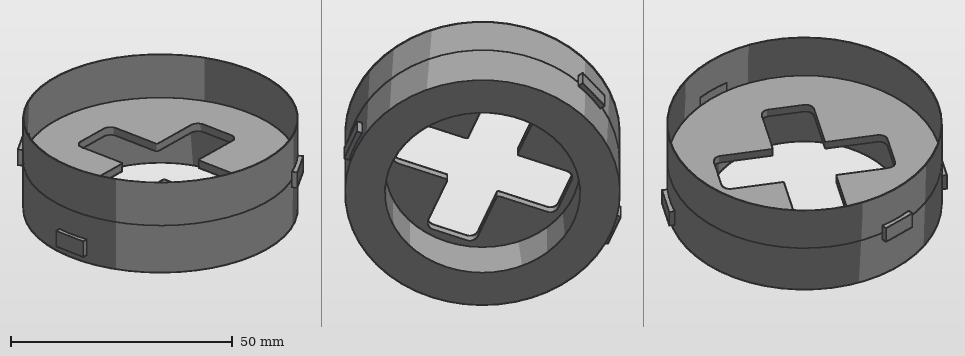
import cadquery as cq

outer_diameter = 62.0
rim_inner_diameter = 61.75
bore_diameter = 44.0
total_height = 23.0
deck_top = 12.0
deck_thickness = 2.0

cross_length = 40.0
cross_width = 12.0
arm_corner_radius = 2.0
inner_corner_radius = 0.4

tab_span = 64.0
tab_width = 8.0
tab_height = 4.0
low_tab_bottom = 2.0
high_tab_bottom = 10.25
low_tab_angles = (90, 270)
high_tab_angles = (30, 210)

outer_radius = outer_diameter / 2
tab_thickness = (tab_span - outer_diameter) / 2


def cross_arm(length_x, length_y):
    """One rounded bar of the cross, cutting through the deck."""
    return (
        cq.Workplane("XY")
        .workplane(offset=deck_top - deck_thickness)
        .rect(length_x, length_y)
        .extrude(deck_thickness)
        .edges("|Z")
        .fillet(arm_corner_radius)
    )


def make_cross():
    """Two crossing bars, with the four corners where they meet rounded."""
    cross = cross_arm(cross_length, cross_width).union(cross_arm(cross_width, cross_length))
    half_window = cross_width / 2 + arm_corner_radius
    inner_corners = cq.selectors.BoxSelector(
        (-half_window, -half_window, 0),
        (half_window, half_window, total_height),
    )
    return cross.edges("|Z").edges(inner_corners).fillet(inner_corner_radius)


def make_base():
    """Lower ring closed at the top by the deck with its cross opening."""
    base = cq.Workplane("XY").circle(outer_radius).extrude(deck_top)
    bore = cq.Workplane("XY").circle(bore_diameter / 2).extrude(deck_top - deck_thickness)
    base = base.cut(bore)
    return base.cut(make_cross())


def make_rim():
    """Thin wall standing on the edge of the deck."""
    return (
        cq.Workplane("XY")
        .workplane(offset=deck_top)
        .circle(outer_radius)
        .circle(rim_inner_diameter / 2)
        .extrude(total_height - deck_top)
    )


def make_housing():
    """Base and rim joined into one body."""
    return make_base().union(make_rim())


def make_tab(angle, bottom):
    """Upright block turned about Z, its inner face curved to sit on the housing wall."""
    tab = (
        cq.Workplane("XY")
        .box(2 * tab_thickness, tab_width, tab_height, centered=(False, True, False))
        .translate((outer_radius - tab_thickness, 0, bottom))
        .rotate((0, 0, 0), (0, 0, 1), angle)
    )
    housing_envelope = cq.Workplane("XY").circle(outer_radius).extrude(total_height)
    return tab.cut(housing_envelope)


housing = make_housing()
low_tabs = [make_tab(angle, low_tab_bottom) for angle in low_tab_angles]
high_tabs = [make_tab(angle, high_tab_bottom) for angle in high_tab_angles]
tabs = low_tabs + high_tabs
result = cq.Compound.makeCompound([housing.val(), *[tab.val() for tab in tabs]])